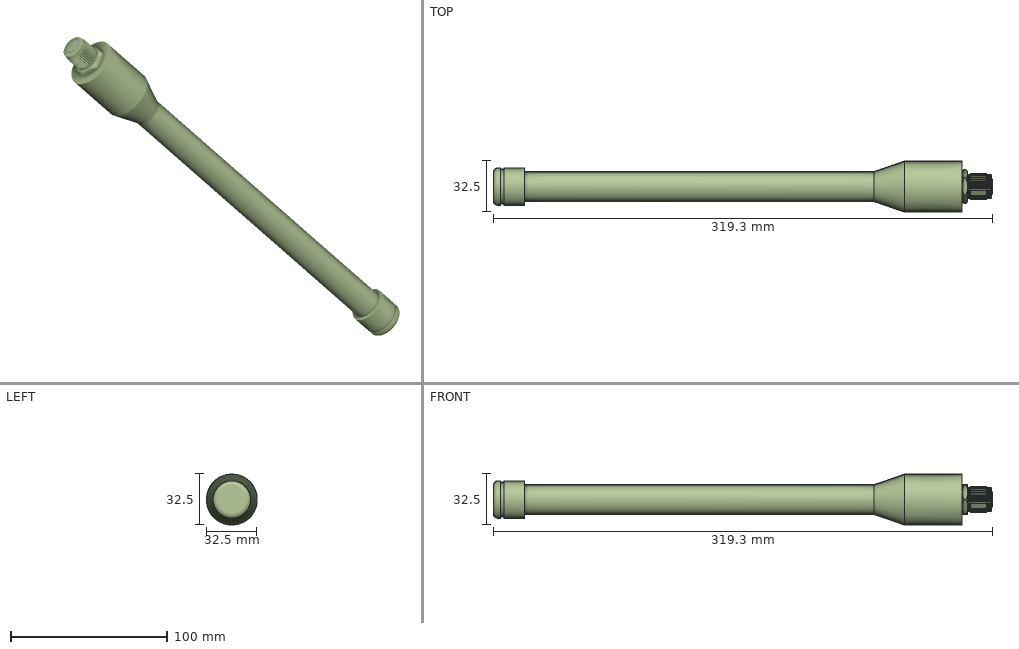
import cadquery as cq
import math


TOTAL_LENGTH = 319.32

CAP_RADIUS = 12.0
CAP_LENGTH = 20.0
CAP_FILLET = 3.0
GROOVE_START = 4.7
GROOVE_WIDTH = 2.2
GROOVE_DEPTH = 0.8
ROD_RADIUS = 9.5
BASE_RADIUS = 16.275
CONE_START = 243.5
CONE_END = 263.0
RADOME_LENGTH = 300.0

HEX_ACROSS_FLATS = 19.0
HEX_LENGTH = 3.6
HEX_CHAMFER_ANGLE = 42.0
GRIP_RADIUS = 8.3
BAND_RADIUS = 7.7
REAR_BAND_LENGTH = 1.7
FRONT_BAND_LENGTH = 3.2
FRONT_CHAMFER = 0.4
CORE_RADIUS = 4.7
CORE_PROTRUSION = 0.6
KNURL_COUNT = 36
KNURL_DEPTH = 0.5
KNURL_ANGLE = 60.0


def revolve_about_x(profile):
    """Turn a closed (X, radius) profile once around the X axis."""
    return profile.close().revolve(360, (0, 0, 0), (1, 0, 0))


def make_radome():
    """Turned body with a rounded, grooved cap at one end and a wide base at the other."""
    groove_end = GROOVE_START + GROOVE_WIDTH
    groove_radius = CAP_RADIUS - GROOVE_DEPTH
    fillet_mid = CAP_FILLET * (1 - math.sqrt(0.5))
    profile = (
        cq.Workplane("XY")
        .moveTo(0, 0)
        .lineTo(0, CAP_RADIUS - CAP_FILLET)
        .threePointArc((fillet_mid, CAP_RADIUS - fillet_mid), (CAP_FILLET, CAP_RADIUS))
        .lineTo(GROOVE_START, CAP_RADIUS)
        .lineTo(GROOVE_START, groove_radius)
        .lineTo(groove_end, groove_radius)
        .lineTo(groove_end, CAP_RADIUS)
        .lineTo(CAP_LENGTH, CAP_RADIUS)
        .lineTo(CAP_LENGTH, ROD_RADIUS)
        .lineTo(CONE_START, ROD_RADIUS)
        .lineTo(CONE_END, BASE_RADIUS)
        .lineTo(RADOME_LENGTH, BASE_RADIUS)
        .lineTo(RADOME_LENGTH, 0)
    )
    return revolve_about_x(profile)


def make_hexagon():
    """Hexagon with flats facing +Z and -Z, its corners turned off at both ends."""
    corner_radius = HEX_ACROSS_FLATS / math.sqrt(3)
    flat_radius = HEX_ACROSS_FLATS / 2
    chamfer_length = (corner_radius - flat_radius) * math.tan(math.radians(HEX_CHAMFER_ANGLE))
    prism = (
        cq.Workplane("YZ", origin=(RADOME_LENGTH, 0, 0))
        .polygon(6, 2 * corner_radius)
        .extrude(HEX_LENGTH)
    )
    turned_blank = (
        cq.Workplane("XY", origin=(RADOME_LENGTH, 0, 0))
        .moveTo(0, 0)
        .lineTo(0, flat_radius)
        .lineTo(chamfer_length, corner_radius)
        .lineTo(HEX_LENGTH - chamfer_length, corner_radius)
        .lineTo(HEX_LENGTH, flat_radius)
        .lineTo(HEX_LENGTH, 0)
    )
    return prism.intersect(revolve_about_x(turned_blank))


def make_nut():
    """Grip between two lower bands, all knurled with straight V grooves, and a core at the end."""
    nut_start = RADOME_LENGTH + HEX_LENGTH
    nut_end = TOTAL_LENGTH - CORE_PROTRUSION
    grip_start = nut_start + REAR_BAND_LENGTH
    grip_end = nut_end - FRONT_BAND_LENGTH
    blank = (
        cq.Workplane("XY")
        .moveTo(nut_start, 0)
        .lineTo(nut_start, BAND_RADIUS)
        .lineTo(grip_start, BAND_RADIUS)
        .lineTo(grip_start, GRIP_RADIUS)
        .lineTo(grip_end, GRIP_RADIUS)
        .lineTo(grip_end, BAND_RADIUS)
        .lineTo(nut_end - FRONT_CHAMFER, BAND_RADIUS)
        .lineTo(nut_end, BAND_RADIUS - FRONT_CHAMFER)
        .lineTo(nut_end, CORE_RADIUS)
        .lineTo(TOTAL_LENGTH, CORE_RADIUS)
        .lineTo(TOTAL_LENGTH, 0)
    )
    nut = revolve_about_x(blank)
    root_radius = BAND_RADIUS - KNURL_DEPTH
    tip_radius = 2 * GRIP_RADIUS - root_radius
    groove_half_width = (tip_radius - root_radius) * math.tan(math.radians(KNURL_ANGLE / 2))
    groove = (
        cq.Workplane("YZ", origin=(nut_start, 0, 0))
        .moveTo(root_radius, 0)
        .lineTo(tip_radius, groove_half_width)
        .lineTo(tip_radius, -groove_half_width)
        .close()
        .extrude(nut_end - nut_start)
    )
    for i in range(KNURL_COUNT):
        angle = i * 360 / KNURL_COUNT
        nut = nut.cut(groove.rotate((0, 0, 0), (1, 0, 0), angle))
    return nut


radome = make_radome()
connector = make_hexagon().union(make_nut())

result = cq.Compound.makeCompound([radome.val(), connector.val()])